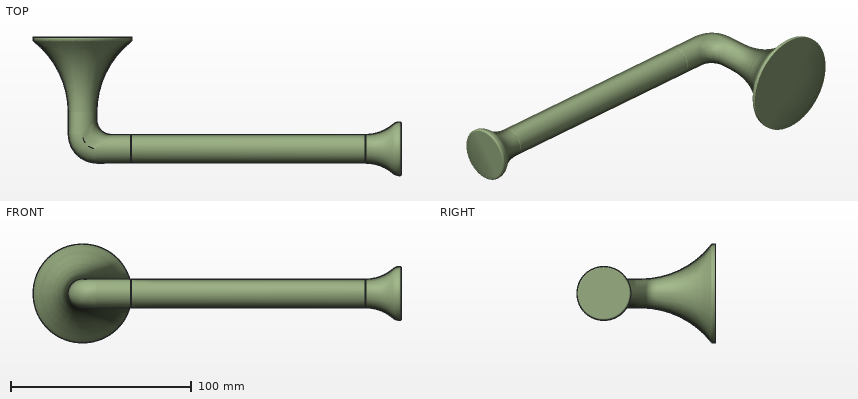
import cadquery as cq
import math

tube_radius = 8.0
bend_radius = tube_radius
joint_chamfer = 0.3

flange_radius = 27.5
flange_thickness = 2.0
flange_fillet = 1.5
flare_radius = 50.0
flare_rise = flange_radius - tube_radius
flare_length = math.sqrt(flare_radius**2 - (flare_radius - flare_rise) ** 2)
bar_axis_y = -62.0
mount_end_x = 27.0

knob_end_x = 177.0
knob_length = 20.0
knob_start_x = knob_end_x - knob_length
knob_radius = 15.0
knob_flare_radius = 23.0
knob_crown_radius = 5.7
knob_edge_radius = 1.0

pivot_x = bend_radius
pivot_y = bar_axis_y + bend_radius


def cylinder_along_x(start_x, end_x):
    """Tube-sized round bar on the bar axis."""
    return (
        cq.Workplane("YZ", origin=(start_x, bar_axis_y, 0))
        .circle(tube_radius)
        .extrude(end_x - start_x)
    )


def make_flared_leg():
    """Flange, concave flare and straight leg, turned about the Y axis."""
    flare_end_y = -flange_thickness - flare_length
    half_angle = math.asin(flare_length / flare_radius) / 2
    flare_mid = (
        tube_radius + flare_radius * (1 - math.cos(half_angle)),
        flare_end_y + flare_radius * math.sin(half_angle),
    )
    leg = (
        cq.Workplane("XY")
        .lineTo(flange_radius, 0)
        .lineTo(flange_radius, -flange_thickness)
        .threePointArc(flare_mid, (tube_radius, flare_end_y))
        .lineTo(tube_radius, pivot_y)
        .lineTo(0, pivot_y)
        .close()
        .revolve(360, (0, 0, 0), (0, 1, 0))
    )
    flange_rim = cq.selectors.NearestToPointSelector((0, -flange_thickness, 0))
    return leg.edges("%CIRCLE").edges(flange_rim).fillet(flange_fillet)


def make_elbow():
    """Quarter bend: a turned outer half and an inner half with its own inside radius."""
    outer_half = (
        cq.Workplane("XZ", origin=(0, pivot_y, 0))
        .moveTo(0, tube_radius)
        .threePointArc((-tube_radius, 0), (0, -tube_radius))
        .close()
        .revolve(90, (pivot_x, 0, 0), (pivot_x, 1, 0))
    )
    mitre_plane = cq.Plane(origin=(0, pivot_y, 0), xDir=(1, 1, 0), normal=(1, -1, 0))
    mitre_section = (
        cq.Workplane(mitre_plane)
        .moveTo(0, -tube_radius)
        .ellipseArc(tube_radius * math.sqrt(2), tube_radius, -90, 90, startAtCurrent=True)
        .close()
    )
    diagonal = bend_radius * math.sqrt(0.5)
    centreline = (
        cq.Workplane("XY")
        .moveTo(0, pivot_y)
        .threePointArc((pivot_x - diagonal, pivot_y - diagonal), (pivot_x, bar_axis_y))
    )
    inner_half = mitre_section.sweep(centreline, normal=mitre_plane.zDir.toTuple())
    return outer_half.union(inner_half)


def make_mount():
    stub = cylinder_along_x(pivot_x, mount_end_x).faces(">X").chamfer(joint_chamfer)
    return make_flared_leg().union(make_elbow()).union(stub).solids()


def make_bar():
    bar = cylinder_along_x(mount_end_x, knob_start_x)
    return bar.faces("<X or >X").chamfer(joint_chamfer).solids()


def make_knob():
    """Trumpet-shaped end stop, turned about the bar axis."""
    rim_x = knob_end_x - knob_edge_radius
    radii = knob_flare_radius + knob_crown_radius
    turn = math.acos(1 - (knob_radius - tube_radius) / radii)
    neck_x = rim_x - radii * math.sin(turn)

    def on_flare(angle):
        x = neck_x + knob_flare_radius * math.sin(angle)
        return x, bar_axis_y + tube_radius + knob_flare_radius * (1 - math.cos(angle))

    def on_crown(angle):
        x = rim_x - knob_crown_radius * math.sin(angle)
        return x, bar_axis_y + knob_radius - knob_crown_radius * (1 - math.cos(angle))

    knob = (
        cq.Workplane("XY")
        .moveTo(knob_start_x, bar_axis_y)
        .lineTo(knob_start_x, bar_axis_y + tube_radius)
        .lineTo(*on_flare(0))
        .threePointArc(on_flare(turn / 2), on_flare(turn))
        .threePointArc(on_crown(turn / 2), on_crown(0))
        .tangentArcPoint((knob_end_x, bar_axis_y + knob_radius - knob_edge_radius), relative=False)
        .lineTo(knob_end_x, bar_axis_y)
        .close()
        .revolve(360, (0, bar_axis_y, 0), (1, bar_axis_y, 0))
    )
    return knob.faces("<X").chamfer(joint_chamfer).solids()


mount = make_mount()
bar = make_bar()
knob = make_knob()

result = cq.Compound.makeCompound([mount.val(), bar.val(), knob.val()])